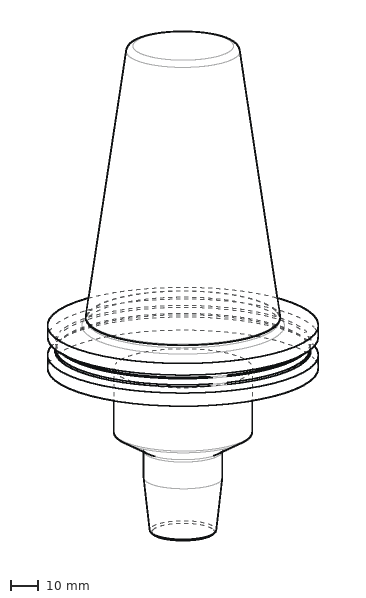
import cadquery as cq
import math


total_height = 182.2
gauge_height = 80.7
gauge_radius = 35.0
radius_per_height = 7 / 48
top_rounding = 2.4
taper_angle = math.atan(radius_per_height)
top_corner_radius = gauge_radius - (total_height - gauge_height) * radius_per_height

gauge_land = 0.5
neck_radius = 34.6
neck_fillet = 1.8

flange_radius = 48.75
flange_top = 77.5
flange_bottom = 61.5
groove_top = 73.0
groove_bottom = 66.3
groove_floor_radius = 45.7
groove_floor_top = 71.3
groove_floor_bottom = 68.2
groove_fillet = 0.7

body_radius = 25.0
body_bottom = 37.2
body_edge_fillet = 1.0
shoulder_bottom = 31.5
shoulder_radius = 15.0
nose_fillet = 1.1

nose_radius = 14.2
cone_top = 20.5
tip_radius = 12.0
tip_chamfer = 0.7


def rounded_top(profile):
    """Draw the rounding from the shank flank to the flat top."""
    tangent_length = top_rounding * math.tan((math.pi / 2 - taper_angle) / 2)
    center_radius = top_corner_radius - tangent_length
    center_height = total_height - top_rounding
    mid_angle = (taper_angle + math.pi / 2) / 2

    def arc_point(angle):
        return (
            center_radius + top_rounding * math.cos(angle),
            center_height + top_rounding * math.sin(angle),
        )

    profile = profile.lineTo(*arc_point(taper_angle))
    return profile.threePointArc(arc_point(mid_angle), arc_point(math.pi / 2))


def nose_profile():
    """Start the half profile at the tip and draw it up to the flange underside."""
    return (
        cq.Workplane("XZ")
        .lineTo(tip_radius - tip_chamfer, 0)
        .lineTo(tip_radius, tip_chamfer)
        .lineTo(nose_radius, cone_top)
        .lineTo(nose_radius, shoulder_bottom - nose_fillet)
        .radiusArc((shoulder_radius, shoulder_bottom), nose_fillet)
        .lineTo(body_radius, body_bottom)
        .lineTo(body_radius, flange_bottom)
    )


def flange_and_neck(profile):
    """Draw the grooved flange and the filleted neck up to the gauge land."""
    fillet_sag = neck_fillet * (1 - math.sqrt(0.5))
    return (
        profile.lineTo(flange_radius, flange_bottom)
        .lineTo(flange_radius, groove_bottom)
        .lineTo(groove_floor_radius, groove_floor_bottom)
        .lineTo(groove_floor_radius, groove_floor_top)
        .lineTo(flange_radius, groove_top)
        .lineTo(flange_radius, flange_top)
        .lineTo(neck_radius + neck_fillet, flange_top)
        .threePointArc(
            (neck_radius + fillet_sag, flange_top + fillet_sag),
            (neck_radius, flange_top + neck_fillet),
        )
        .lineTo(neck_radius, gauge_height - gauge_land)
        .lineTo(gauge_radius, gauge_height - gauge_land)
        .lineTo(gauge_radius, gauge_height)
    )


def round_edge(solid, radius, height, fillet):
    """Fillet the circular edge that has this radius and lies at this height."""
    margin = 0.2
    edge_box = cq.selectors.BoxSelector(
        (-margin, -margin, height - margin), (margin, margin, height + margin)
    )
    edges = solid.edges("%CIRCLE").edges(edge_box)
    return solid.newObject(
        [edge for edge in edges.vals() if abs(edge.radius() - radius) < margin]
    ).fillet(fillet)


half_profile = rounded_top(flange_and_neck(nose_profile()))
half_profile = half_profile.lineTo(0, total_height).close()
result = half_profile.revolve(360, (0, 0, 0), (0, 1, 0))
result = round_edge(result, groove_floor_radius, groove_floor_top, groove_fillet)
result = round_edge(result, groove_floor_radius, groove_floor_bottom, groove_fillet)
result = round_edge(result, body_radius, body_bottom, body_edge_fillet)